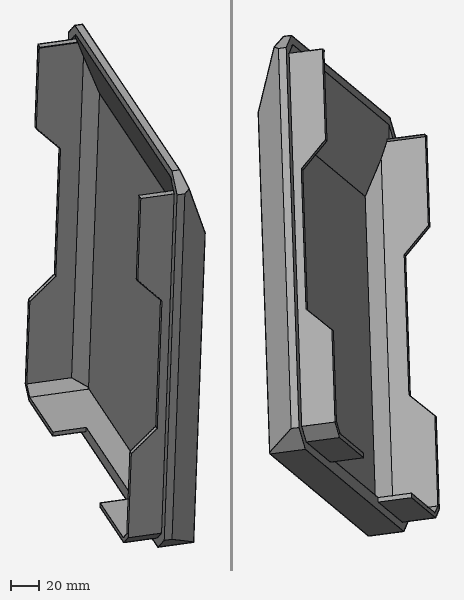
import cadquery as cq

WIDTH = 239.0
HEIGHT = 305.0
DEPTH = 26.3
LEAN = 1.95
CORNER = 12.5

RIM_BAND = 5.8
SIDE_INSET = 11.5
TOP_INSET = 53.8

FLOOR = 7.0
FLOOR_SIDE_INSET = 15.5
FLOOR_TOP_INSET = 56.5

RIM = 6.0
SKIRT_WALL = 3.5
SKIRT_FRONT = 51.0
RECESS_DEPTH = 32.5
RECESS_TOP = (203.8, 223.0)
RECESS_BOTTOM = (100.8, 83.0)
NOTCH_WIDTH = 104.0

slope_depth = DEPTH - RIM_BAND
inner_inset = RIM + SKIRT_WALL
corner_shrink = 2 - 2 ** 0.5
skirt_top = HEIGHT - RIM - (CORNER - RIM * corner_shrink)


def block(width, y_back, y_front, z_low, z_high):
    """Box centred on X between two depths and two heights."""
    size = (width, y_back - y_front, z_high - z_low)
    return cq.Workplane().box(*size, centered=(True, False, False)).translate((0, y_front, z_low))


def octagon(inset, back, front):
    """Chamfered outline, offset evenly inward, between two depths from the back face."""
    prism = block(WIDTH - 2 * inset, -back, -front, inset, HEIGHT - inset)
    return prism.edges("|Y").chamfer(CORNER - inset * corner_shrink)


def tapered(rear, front):
    """Loft between two rectangles, each given as (depth, half width, bottom, top)."""
    wires = []
    for depth, half_width, bottom, top in (rear, front):
        corners = [(-half_width, bottom), (half_width, bottom), (half_width, top), (-half_width, top)]
        wires.append(cq.Wire.makePolygon([cq.Vector(x, -depth, z) for x, z in corners], close=True))
    return cq.Workplane(cq.Solid.makeLoft(wires, True))


def make_shell():
    half = WIDTH / 2
    slopes = tapered(
        (0, half - SIDE_INSET, 0, HEIGHT - TOP_INSET),
        (slope_depth, half, 0, HEIGHT),
    )
    band = block(WIDTH, -slope_depth, -DEPTH, 0, HEIGHT)
    return slopes.union(band).intersect(octagon(0, 0, DEPTH))


def make_cavity():
    half = WIDTH / 2
    side_run = (DEPTH - FLOOR) * SIDE_INSET / slope_depth
    pocket = tapered(
        (FLOOR, half - FLOOR_SIDE_INSET, inner_inset, HEIGHT - FLOOR_TOP_INSET),
        (DEPTH, half - FLOOR_SIDE_INSET + side_run, inner_inset, HEIGHT - RIM),
    )
    return pocket.intersect(octagon(RIM, 0, DEPTH))


def make_skirt(shell):
    allowed = shell.union(block(WIDTH, -DEPTH, -SKIRT_FRONT, 0, HEIGHT))
    ring = octagon(RIM, FLOOR, SKIRT_FRONT).cut(octagon(inner_inset, FLOOR, SKIRT_FRONT))
    below_top = block(WIDTH, 0, -SKIRT_FRONT, 0, skirt_top)
    recess = (
        cq.Workplane("YZ")
        .polyline([
            (-SKIRT_FRONT, RECESS_BOTTOM[1]),
            (-RECESS_DEPTH, RECESS_BOTTOM[0]),
            (-RECESS_DEPTH, RECESS_TOP[0]),
            (-SKIRT_FRONT, RECESS_TOP[1]),
        ])
        .close()
        .extrude(WIDTH / 2, both=True)
    )
    notch = block(NOTCH_WIDTH, -DEPTH, -SKIRT_FRONT, 0, 2 * inner_inset)
    return ring.intersect(below_top).intersect(allowed).cut(recess).cut(notch)


shell = make_shell()
cover = shell.cut(make_cavity()).union(make_skirt(shell))
result = cover.rotate((0, 0, 0), (1, 0, 0), -LEAN)